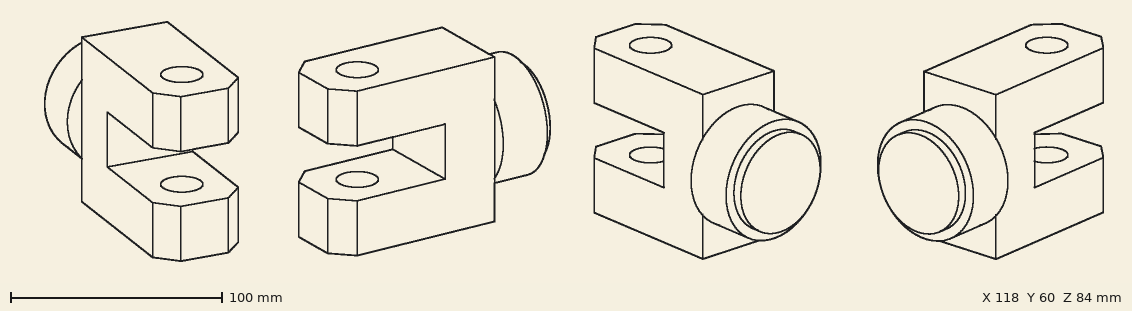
import cadquery as cq

total_length = 118.0
pilot_diameter = 50.0
pilot_length = 5.0
collar_diameter = 60.0
collar_length = 25.0
fork_width = 45.0
fork_height = 84.0
slot_depth = 60.0
tip_chamfer = 10.0
pin_diameter = 20.0
pin_to_tip = 25.0

fork_start = pilot_length + collar_length
fork_length = total_length - fork_start
slot_height = fork_height / 3


def disc(diameter, length, start):
    """Cylinder along X, beginning at the given X position."""
    return cq.Workplane("YZ", origin=(start, 0, 0)).circle(diameter / 2).extrude(length)


def block(length, width, height, start):
    """Box centred on the X axis, beginning at the given X position."""
    return cq.Workplane("XY", origin=(start, 0, 0)).box(
        length, width, height, centered=(False, True, True)
    )


fork = block(fork_length, fork_width, fork_height, fork_start)
fork = fork.edges("|Z and >X").chamfer(tip_chamfer)

fork = fork.cut(block(slot_depth, fork_width, slot_height, total_length - slot_depth))

pin_hole = (
    cq.Workplane("XY", origin=(total_length - pin_to_tip, 0, 0))
    .circle(pin_diameter / 2)
    .extrude(fork_height / 2, both=True)
)
fork = fork.cut(pin_hole)

pilot = disc(pilot_diameter, pilot_length, 0)
collar = disc(collar_diameter, collar_length, pilot_length)

result = fork.union(collar).union(pilot)